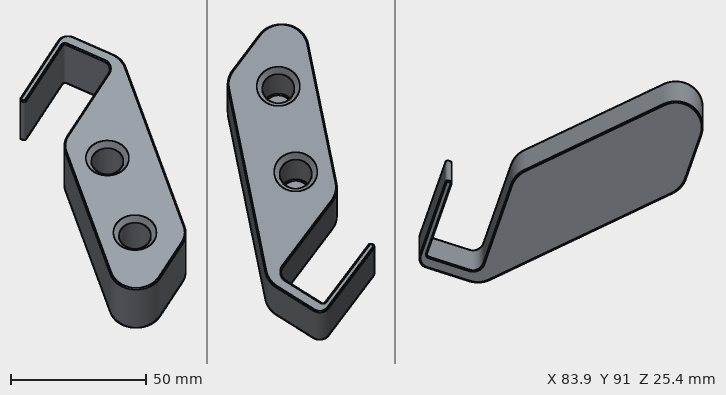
import cadquery as cq

length_x = 83.9
length_y = 91.0
height = 25.4

arm_thickness = 2.5
bridge_thickness = 4.4
arm_length = 34.7
slot_right = 23.3

body_radius = 10.0
hook_outer_radius = 4.0
slot_radius = 4.0
slot_arm_radius = 1.0
tip_radius = 1.0
edge_chamfer = 0.5

slope_start_x = 24.75

hole_diameter = 11.8
countersink_diameter = 15.9
countersink_depth = (countersink_diameter - hole_diameter) / 2
hole_depth = 20.0
first_hole_x = 41.2
first_hole_y = 48.4
hole_step = 24.9

slope_end_y = length_y - (length_x - slope_start_x)
slot_top = length_y - bridge_thickness
arm_end_y = length_y - arm_length
round_x = length_x - body_radius
round_y = body_radius
diagonal_reach = body_radius * 0.5 ** 0.5
tangent_x = round_x - diagonal_reach
tangent_y = round_y - diagonal_reach
lower_corner_y = tangent_y + tangent_x - slot_right


def make_body():
    body = (
        cq.Workplane("XY")
        .moveTo(0, arm_end_y)
        .lineTo(0, length_y)
        .lineTo(slope_start_x, length_y)
        .lineTo(length_x, slope_end_y)
        .lineTo(length_x, round_y)
        .threePointArc((round_x, 0), (tangent_x, tangent_y))
        .lineTo(slot_right, lower_corner_y)
        .lineTo(slot_right, slot_top)
        .lineTo(arm_thickness, slot_top)
        .lineTo(arm_thickness, arm_end_y)
        .close()
        .extrude(height)
    )
    corner_radii = [
        ((0, length_y), hook_outer_radius),
        ((slope_start_x, length_y), body_radius),
        ((length_x, slope_end_y), body_radius),
        ((slot_right, lower_corner_y), body_radius),
        ((slot_right, slot_top), slot_radius),
        ((arm_thickness, slot_top), slot_arm_radius),
        ((0, arm_end_y), tip_radius),
        ((arm_thickness, arm_end_y), tip_radius),
    ]
    for (x, y), radius in corner_radii:
        corner = cq.selectors.NearestToPointSelector((x, y, height / 2))
        body = body.edges("|Z").edges(corner).fillet(radius)
    return body.faces("<Z or >Z").edges().chamfer(edge_chamfer)


def cut_holes(body):
    centres = [(first_hole_x + i * hole_step, first_hole_y - i * hole_step) for i in range(2)]
    bores = (
        cq.Workplane("XY", origin=(0, 0, height - hole_depth))
        .pushPoints(centres)
        .circle(hole_diameter / 2)
        .extrude(hole_depth)
        .faces("<Z")
        .edges()
        .chamfer(edge_chamfer)
    )
    for x, y in centres:
        countersink = cq.Solid.makeCone(
            hole_diameter / 2,
            countersink_diameter / 2,
            countersink_depth,
            pnt=cq.Vector(x, y, height - countersink_depth),
        )
        body = body.cut(cq.Workplane(obj=countersink))
    return body.cut(bores)


result = cut_holes(make_body())